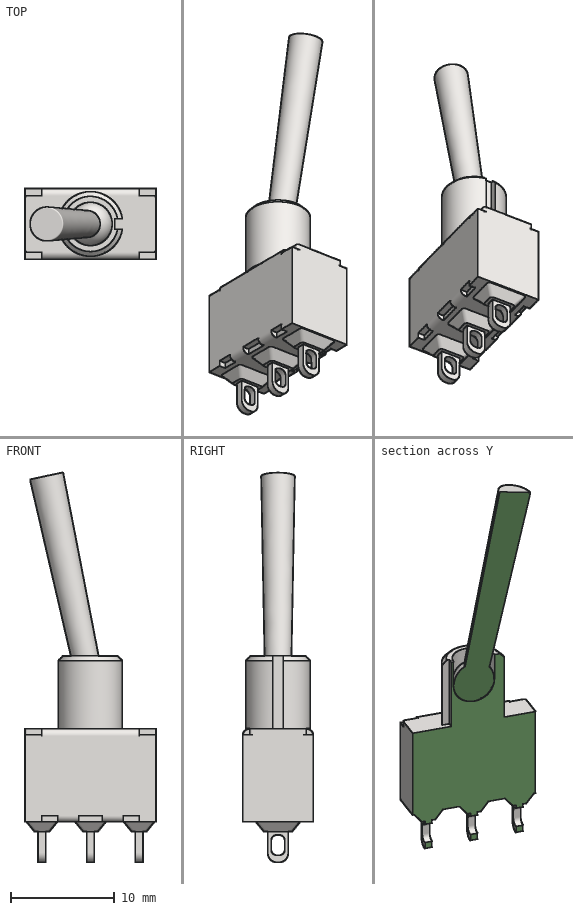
import cadquery as cq
import math

case_length = 12.7
case_width = 6.86
case_height = 9.0
frame_length = 9.45
frame_bend_radius = 0.69
step_height = 0.57
step_depth = frame_bend_radius
lid_corner_radius = 0.26

tab_length = 2.0
tab_center_x = 2.15

bushing_diameter = 6.26
bushing_height = 7.04
bushing_chamfer = 0.46
keyway_width = 1.04
keyway_floor_x = 2.36

terminal_pitch = 4.7
terminal_count = 3
terminal_thickness = 0.76
terminal_width = 2.0
terminal_length = 3.93
terminal_tip_radius = 0.9
eyelet_width = 1.3
eyelet_length = 1.95
eyelet_corner_radius = 0.55
eyelet_edge = 0.7
base_length = 3.0
base_width = 4.3
base_height = 0.95
base_inset = 0.78
base_corner_radius = 0.3

ball_diameter = 4.2
ball_depth = 2.6
lever_tilt = 12.0
overall_height = 37.71
lever_neck_diameter = 2.55
lever_tip_diameter = 3.3
lever_tip_fillet = 0.12

bushing_top = case_height + bushing_height
ball_center = (0, 0, bushing_top - ball_depth)
tilt = math.radians(lever_tilt)
rim_rise = (lever_tip_diameter / 2 - lever_tip_fillet) * math.sin(tilt)
fillet_rise = lever_tip_fillet * (1 - math.cos(tilt))
lever_top = overall_height - terminal_length
lever_length = (lever_top - ball_center[2] - rim_rise - fillet_rise) / math.cos(tilt)


def centered_box(length, width, bottom, height):
    return cq.Workplane("XY").workplane(offset=bottom).rect(length, width).extrude(height)


def make_case():
    shoulder_z = case_height - step_height
    bend_z = case_height - frame_bend_radius
    bend_to_shoulder = shoulder_z - bend_z
    case = centered_box(case_length, case_width, 0, shoulder_z)
    lid = centered_box(case_length, case_width - 2 * step_depth, shoulder_z, step_height)
    frame = centered_box(frame_length, case_width, 0, case_height)
    frame = frame.faces(">Z").edges("|X").fillet(frame_bend_radius)
    case = case.cut(centered_box(frame_length, case_width, bend_z, bend_to_shoulder))
    case = case.union(lid.edges("|Z").fillet(lid_corner_radius)).union(frame)

    for side in (-1, 1):
        side_y = side * (case_width - step_depth) / 2
        case = case.cut(centered_box(frame_length, step_depth, 0, step_height).translate((0, side_y, 0)))
    for tab_x in (-tab_center_x, tab_center_x):
        tab = centered_box(tab_length, case_width, 0, 2 * step_height)
        tab = tab.faces("<Z").edges("|X").fillet(step_height)
        case = case.union(tab.translate((tab_x, 0, 0)))
    return case


def make_bushing():
    base_plane = cq.Workplane("XY").workplane(offset=case_height)
    bushing = base_plane.circle(bushing_diameter / 2).extrude(bushing_height)
    bushing = bushing.faces(">Z").chamfer(bushing_chamfer)
    keyway_depth = bushing_diameter / 2 - keyway_floor_x
    keyway = centered_box(keyway_depth, keyway_width, case_height, bushing_height)
    return bushing.cut(keyway.translate((keyway_floor_x + keyway_depth / 2, 0, 0)))


def make_terminal():
    def base_outline(inset):
        length = base_length - 2 * inset
        width = base_width - 2 * inset
        return cq.Sketch().rect(length, width).vertices().fillet(base_corner_radius)

    lowered = cq.Location(cq.Vector(0, 0, -base_height))
    base = cq.Workplane("XY").placeSketch(base_outline(0), base_outline(base_inset).moved(lowered)).loft()
    blade = centered_box(terminal_thickness, terminal_width, -terminal_length, terminal_length)
    blade = blade.faces("<Z").edges("|X").fillet(terminal_tip_radius)
    eyelet = centered_box(terminal_thickness, eyelet_width, eyelet_edge - terminal_length, eyelet_length)
    eyelet = eyelet.edges("|X").fillet(eyelet_corner_radius)
    return base.union(blade).cut(eyelet)


def make_ball():
    return cq.Workplane("XY").sphere(ball_diameter / 2).translate(ball_center)


def make_housing():
    housing = make_case().union(make_bushing())
    for index in range(terminal_count):
        terminal_x = (index - (terminal_count - 1) / 2) * terminal_pitch
        housing = housing.union(make_terminal().translate((terminal_x, 0, 0)))
    bore = cq.Workplane("XY").workplane(offset=ball_center[2]).circle(ball_diameter / 2).extrude(ball_depth)
    return housing.cut(bore).cut(make_ball())


def make_lever():
    bat = (
        cq.Workplane("XY")
        .circle(lever_neck_diameter / 2)
        .workplane(offset=lever_length)
        .circle(lever_tip_diameter / 2)
        .loft()
        .faces(">Z").edges().fillet(lever_tip_fillet)
        .rotate((0, 0, 0), (0, 1, 0), -lever_tilt)
        .translate(ball_center)
    )
    return make_ball().union(bat)


housing = make_housing()
lever = make_lever()
result = cq.Compound.makeCompound([housing.val(), lever.val()])